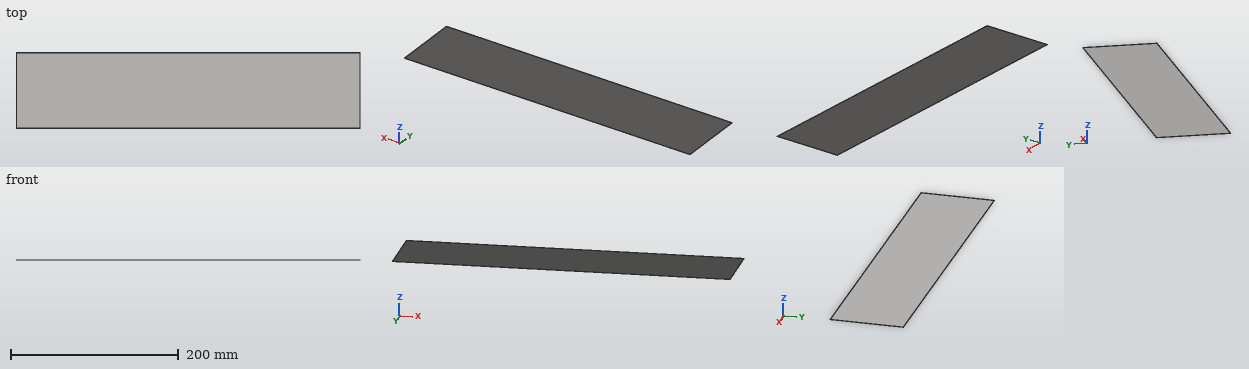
import cadquery as cq

plate_length = 410.0
plate_width = 90.6
plate_thickness = 0.1

result = cq.Workplane("XY").box(
    plate_length,
    plate_width,
    plate_thickness,
    centered=(True, True, False),
)